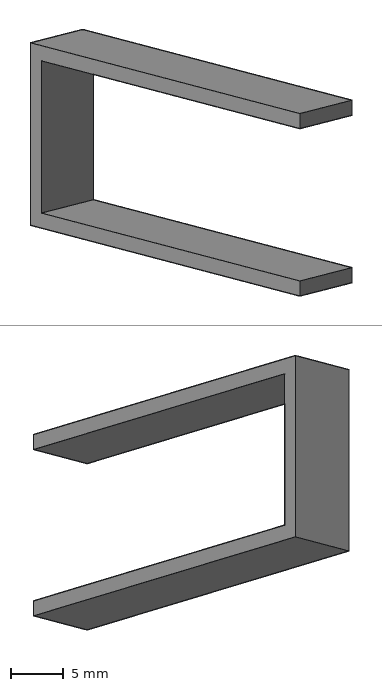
import cadquery as cq

length = 36.5
width = 7.0
height = 18.0
wall = 1.5


def make_block():
    """Solid envelope of the bracket, with one lower corner at the origin."""
    return cq.Workplane("XY").box(length, width, height, centered=False)


def make_opening():
    """Space between the legs, open at the +X end and through the full width."""
    return (
        cq.Workplane("XY")
        .box(length - wall, width, height - 2 * wall, centered=False)
        .translate((wall, 0, wall))
    )


result = make_block().cut(make_opening())